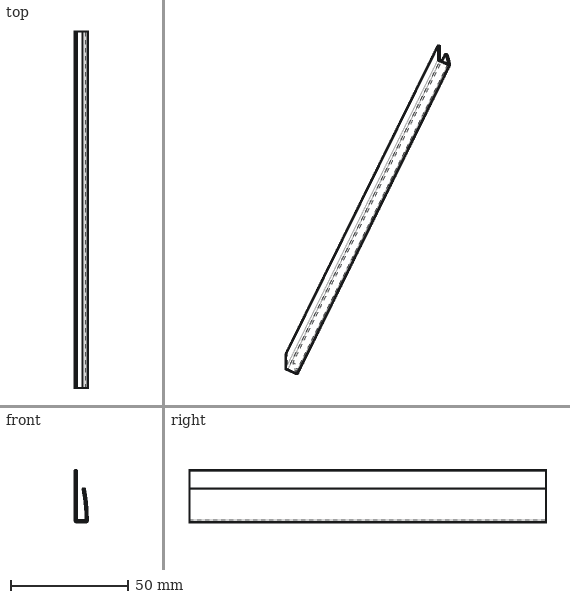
import cadquery as cq
import math

length = 152.4
width = 5.6
height = 22.3
thickness = 0.96

lip_height = 14.5
lip_radius = 70.1
corner_radius = 0.9

half_thickness = thickness / 2
arc_start_z = thickness
arc_center_x = width - lip_radius
lip_angle = math.asin((lip_height - half_thickness - arc_start_z) / (lip_radius - half_thickness))


def lip_point(radius, angle):
    """Point on an arc about the lip's center of curvature."""
    return (arc_center_x + radius * math.cos(angle), arc_start_z + radius * math.sin(angle))


def lip_tip_crown():
    """Outermost point of the rounded lip tip."""
    x, z = lip_point(lip_radius - half_thickness, lip_angle)
    return (x - half_thickness * math.sin(lip_angle), z + half_thickness * math.cos(lip_angle))


def quarter_arc_middle(center_x, center_z, x_direction):
    """Middle of a rounded lower corner."""
    offset = corner_radius * math.sqrt(0.5)
    return (center_x + x_direction * offset, center_z - offset)


inner_lip_radius = lip_radius - thickness

profile = (
    cq.Workplane("XZ", origin=(0, length / 2, 0))
    .moveTo(corner_radius, 0)
    .lineTo(width - corner_radius, 0)
    .threePointArc(
        quarter_arc_middle(width - corner_radius, corner_radius, 1),
        (width, corner_radius),
    )
    .threePointArc(lip_point(lip_radius, lip_angle / 2), lip_point(lip_radius, lip_angle))
    .threePointArc(lip_tip_crown(), lip_point(inner_lip_radius, lip_angle))
    .threePointArc(lip_point(inner_lip_radius, lip_angle / 2), lip_point(inner_lip_radius, 0))
    .lineTo(thickness, thickness)
    .lineTo(thickness, height - half_thickness)
    .threePointArc((half_thickness, height), (0, height - half_thickness))
    .lineTo(0, corner_radius)
    .threePointArc(quarter_arc_middle(corner_radius, corner_radius, -1), (corner_radius, 0))
    .close()
)

result = profile.extrude(length)